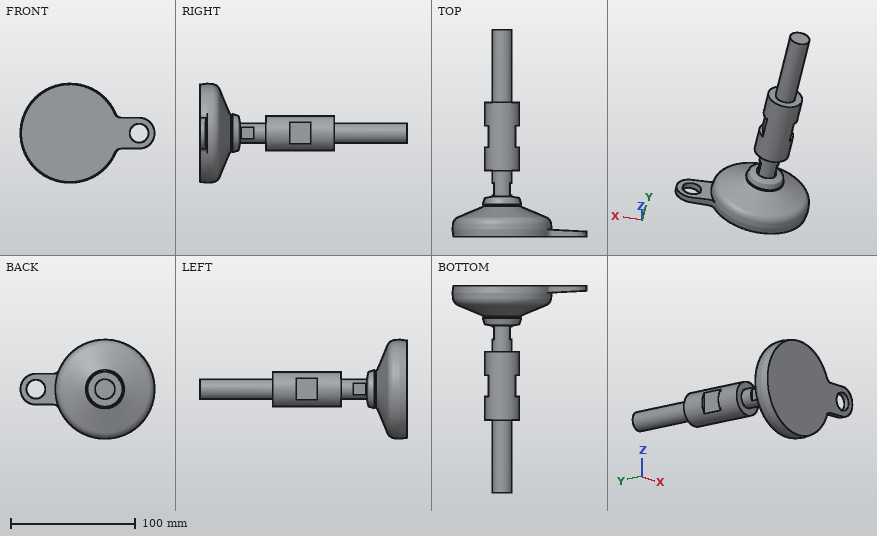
import cadquery as cq
import math


base_radius = 40.0
seam_height = 6.0
rim_draft = 0.8
crown_start_height = 9.2
crown_start_radius = 39.7
crown_radius = 7.25
cone_tilt = math.radians(67.3)

neck_radius = 15.0
neck_height = 24.7
cone_end_radius = 16.8
collar_underside_height = 25.9
collar_radius = 15.5
collar_lip_height = 26.3
collar_top_radius = 14.2
collar_shoulder_height = 30.5
collar_round_width = 1.2
collar_round_rise = 0.9
collar_height = 32.4

lug_width = 25.0
lug_hole_diameter = 15.0
lug_hole_x = 55.5
lug_tip_height = 4.3
lug_slope = math.radians(3.0)
lug_root_fillet = 5.0

stem_diameter = 16.0
overall_height = 166.5
stem_flat_width = 13.0
stem_flat_length = 10.0
stem_flat_offset = 0.8

sleeve_diameter = 28.0
sleeve_length = 55.0
sleeve_start = 53.1
sleeve_flat_width = 22.0
sleeve_flat_length = 17.0


def make_base_disc():
    """Revolved base: drafted rim, round shoulder, cone, neck and collar."""
    crown_center_radius = crown_start_radius - crown_radius

    def crown_point(angle):
        return (
            crown_center_radius + crown_radius * math.cos(angle),
            crown_start_height + crown_radius * math.sin(angle),
        )

    crown_end = crown_point(cone_tilt)
    cone_rise = (crown_end[0] - cone_end_radius) / math.tan(cone_tilt)
    stem_radius = stem_diameter / 2
    profile = (
        cq.Workplane("XY")
        .lineTo(base_radius - rim_draft, 0)
        .lineTo(base_radius, seam_height)
        .lineTo(crown_start_radius, crown_start_height)
        .threePointArc(crown_point(cone_tilt / 2), crown_end)
        .lineTo(cone_end_radius, crown_end[1] + cone_rise)
        .tangentArcPoint((neck_radius, neck_height), relative=False)
        .lineTo(neck_radius, collar_underside_height)
        .lineTo(collar_radius, collar_lip_height)
        .lineTo(collar_top_radius, collar_shoulder_height)
        .tangentArcPoint((-collar_round_width, collar_round_rise))
        .lineTo(stem_radius, collar_height)
        .lineTo(0, collar_height)
        .close()
    )
    return profile.revolve(360, (0, 0), (0, 1))


def make_lug():
    """Rounded lug along +X whose upper face falls towards its tip."""
    half_width = lug_width / 2
    tip_x = lug_hole_x + half_width
    root_x = base_radius / 2
    root_height = lug_tip_height + (tip_x - root_x) * math.tan(lug_slope)
    side = (
        cq.Workplane("XY", origin=(0, 0, -half_width))
        .polyline([(root_x, 0), (tip_x, 0), (tip_x, lug_tip_height), (root_x, root_height)])
        .close()
        .extrude(lug_width)
    )
    outline = (
        cq.Workplane("XZ")
        .moveTo(root_x, -half_width)
        .lineTo(lug_hole_x, -half_width)
        .threePointArc((tip_x, 0), (lug_hole_x, half_width))
        .lineTo(root_x, half_width)
        .close()
        .extrude(-base_radius)
    )
    return side.intersect(outline)


def make_base():
    """Base disc and lug as one solid, with rounded lug roots and the fixing hole."""
    base = make_base_disc().union(make_lug())
    half_width = lug_width / 2
    root_edge_x = math.sqrt(base_radius**2 - half_width**2)
    for side in (-1, 1):
        root_corner = (root_edge_x, seam_height / 2, side * half_width)
        base = base.edges(cq.selectors.NearestToPointSelector(root_corner)).fillet(lug_root_fillet)
    hole = (
        cq.Workplane("XZ")
        .center(lug_hole_x, 0)
        .circle(lug_hole_diameter / 2)
        .extrude(-seam_height)
    )
    return base.cut(hole)


def make_round_bar(diameter, start, length):
    return cq.Workplane("XZ", origin=(0, start, 0)).circle(diameter / 2).extrude(-length)


def cut_wrench_flats(body, outer_diameter, flat_width, start, length):
    """Cut a pair of flats, facing -X and +X, into a round body."""
    for side in (-1, 1):
        cutter = cq.Workplane("XY").box(outer_diameter, length, outer_diameter)
        cutter_x = side * (flat_width + outer_diameter) / 2
        body = body.cut(cutter.translate((cutter_x, start + length / 2, 0)))
    return body


def make_stem():
    """Stem standing on the collar, in one piece with its thick sleeve."""
    rod = make_round_bar(stem_diameter, collar_height, overall_height - collar_height)
    rod = cut_wrench_flats(
        rod, stem_diameter, stem_flat_width, collar_height + stem_flat_offset, stem_flat_length
    )
    sleeve = make_round_bar(sleeve_diameter, sleeve_start, sleeve_length)
    sleeve_flat_start = sleeve_start + (sleeve_length - sleeve_flat_length) / 2
    sleeve = cut_wrench_flats(
        sleeve, sleeve_diameter, sleeve_flat_width, sleeve_flat_start, sleeve_flat_length
    )
    return rod.union(sleeve)


base = make_base()
stem = make_stem()

result = cq.Compound.makeCompound([base.val(), stem.val()])